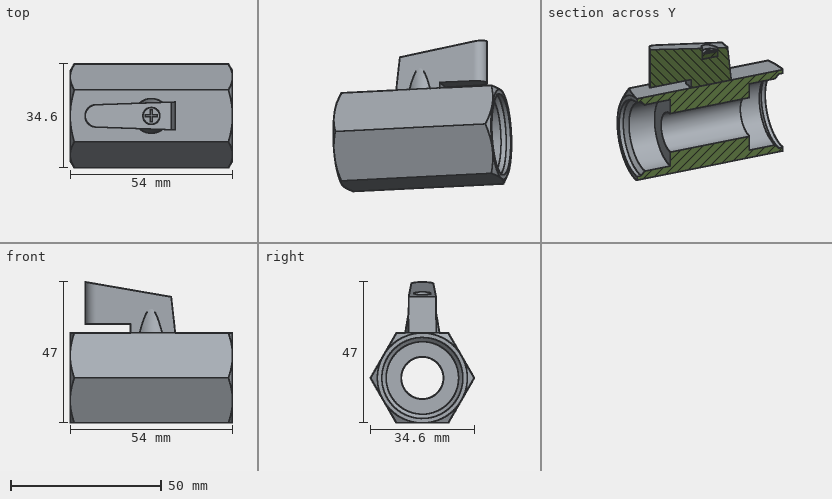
import cadquery as cq
import math

BODY_LENGTH = 54.0
ACROSS_FLATS = 29.95
ACROSS_CORNERS = ACROSS_FLATS / math.cos(math.radians(30))
END_CHAMFER_ANGLE = 30.0
FLOW_DIAMETER = 14.0
SOCKET_DIAMETER = 24.15
SOCKET_MOUTH_DIAMETER = 27.0
SOCKET_MOUTH_DEPTH = 1.5
SOCKET_DEPTH = 12.35
BODY_TOP = ACROSS_FLATS / 2

LEVER_TIP_X = -22.05
LEVER_TIP_RADIUS = 3.7
LEVER_TIP_CENTRE_X = LEVER_TIP_X + LEVER_TIP_RADIUS
LEVER_HEEL_X = 8.0
LEVER_HEEL_TOP_X = 6.65
LEVER_HEEL_HALF_WIDTH = 4.65
LEVER_HEEL_HEIGHT = 12.05
LEVER_TIP_HEIGHT = 17.0
LEVER_CLEARANCE = 2.9
FOOT_START_X = -6.95
BOSS_BASE_RADIUS = 5.8
BOSS_DRAFT_ANGLE = 10.0
BOSS_HEIGHT = 10.25

SCREW_DIAMETER = 5.6
SCREW_EDGE_RADIUS = 0.46
SCREW_HEAD_HEIGHT = 2.15
SCREW_TOP_HEIGHT = 11.9
SLOT_LENGTH = 4.0
SLOT_WIDTH = 0.65
SLOT_DEPTH = 0.45

SCREW_SEAT_Z = BODY_TOP + SCREW_TOP_HEIGHT - SCREW_HEAD_HEIGHT


def make_chamfer_envelope():
    """Solid of revolution about X that trims the hexagon corners at both ends."""
    end_x = BODY_LENGTH / 2
    face_radius = ACROSS_FLATS / 2
    corner_radius = ACROSS_CORNERS / 2
    chamfer_length = (corner_radius - face_radius) * math.tan(math.radians(END_CHAMFER_ANGLE))
    shoulder_x = end_x - chamfer_length
    return (
        cq.Workplane("XY")
        .moveTo(-end_x, 0)
        .lineTo(-end_x, face_radius)
        .lineTo(-shoulder_x, corner_radius)
        .lineTo(shoulder_x, corner_radius)
        .lineTo(end_x, face_radius)
        .lineTo(end_x, 0)
        .close()
        .revolve(360, (0, 0, 0), (1, 0, 0))
    )


def make_bore():
    """Flow passage with a stepped socket at each end, as one solid about X."""
    end_x = BODY_LENGTH / 2
    flow_radius = FLOW_DIAMETER / 2
    socket_radius = SOCKET_DIAMETER / 2
    mouth_radius = SOCKET_MOUTH_DIAMETER / 2
    floor_x = end_x - SOCKET_DEPTH
    mouth_floor_x = end_x - SOCKET_MOUTH_DEPTH
    lead_in_x = mouth_floor_x - (mouth_radius - socket_radius)
    return (
        cq.Workplane("XY")
        .moveTo(-end_x, 0)
        .lineTo(-end_x, mouth_radius)
        .lineTo(-mouth_floor_x, mouth_radius)
        .lineTo(-lead_in_x, socket_radius)
        .lineTo(-floor_x, socket_radius)
        .lineTo(-floor_x, flow_radius)
        .lineTo(floor_x, flow_radius)
        .lineTo(floor_x, socket_radius)
        .lineTo(lead_in_x, socket_radius)
        .lineTo(mouth_floor_x, mouth_radius)
        .lineTo(end_x, mouth_radius)
        .lineTo(end_x, 0)
        .close()
        .revolve(360, (0, 0, 0), (1, 0, 0))
    )


def make_body():
    hexagon = (
        cq.Workplane("YZ")
        .polygon(6, ACROSS_CORNERS)
        .extrude(BODY_LENGTH / 2, both=True)
    )
    return hexagon.intersect(make_chamfer_envelope()).cut(make_bore())


def make_lever():
    """Round-tipped plan outline trimmed by the sloping side profile."""
    plan = (
        cq.Workplane("XY", origin=(0, 0, BODY_TOP))
        .moveTo(LEVER_HEEL_X, -LEVER_HEEL_HALF_WIDTH)
        .lineTo(LEVER_HEEL_X, LEVER_HEEL_HALF_WIDTH)
        .lineTo(LEVER_TIP_CENTRE_X, LEVER_TIP_RADIUS)
        .threePointArc((LEVER_TIP_X, 0), (LEVER_TIP_CENTRE_X, -LEVER_TIP_RADIUS))
        .close()
        .extrude(LEVER_TIP_HEIGHT)
    )
    profile = (
        cq.Workplane("XZ", origin=(0, 0, BODY_TOP))
        .moveTo(FOOT_START_X, 0)
        .lineTo(LEVER_HEEL_X, 0)
        .lineTo(LEVER_HEEL_TOP_X, LEVER_HEEL_HEIGHT)
        .lineTo(LEVER_TIP_X, LEVER_TIP_HEIGHT)
        .lineTo(LEVER_TIP_X, LEVER_CLEARANCE)
        .lineTo(FOOT_START_X, LEVER_CLEARANCE)
        .close()
        .extrude(LEVER_HEEL_HALF_WIDTH, both=True)
    )
    return plan.intersect(profile)


def make_handle():
    boss = (
        cq.Workplane("XY", origin=(0, 0, BODY_TOP))
        .circle(BOSS_BASE_RADIUS)
        .extrude(BOSS_HEIGHT, taper=BOSS_DRAFT_ANGLE)
    )
    screw_recess = (
        cq.Workplane("XY", origin=(0, 0, SCREW_SEAT_Z))
        .circle(SCREW_DIAMETER / 2)
        .extrude(LEVER_TIP_HEIGHT)
    )
    return make_lever().union(boss).cut(screw_recess)


def make_screw():
    screw = (
        cq.Workplane("XY", origin=(0, 0, SCREW_SEAT_Z))
        .circle(SCREW_DIAMETER / 2)
        .extrude(SCREW_HEAD_HEIGHT)
        .faces(">Z")
        .fillet(SCREW_EDGE_RADIUS)
    )
    cross_slot = (
        cq.Workplane("XY", origin=(0, 0, BODY_TOP + SCREW_TOP_HEIGHT))
        .rect(SLOT_LENGTH, SLOT_WIDTH)
        .extrude(-SLOT_DEPTH)
        .union(
            cq.Workplane("XY", origin=(0, 0, BODY_TOP + SCREW_TOP_HEIGHT))
            .rect(SLOT_WIDTH, SLOT_LENGTH)
            .extrude(-SLOT_DEPTH)
        )
    )
    return screw.cut(cross_slot)


body = make_body()
handle = make_handle()
screw = make_screw()

result = cq.Compound.makeCompound([body.val(), handle.val(), screw.val()])